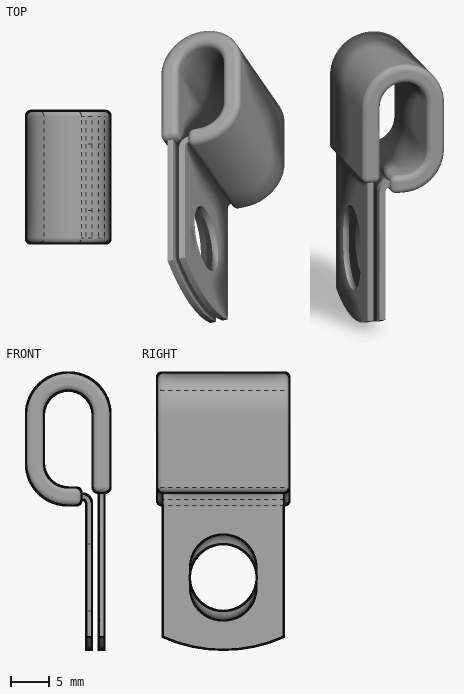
import cadquery as cq

height = 36.45
loop_width = 11.15
cushion_depth = 17.45

strap_thickness = 0.8
cushion_wall = 2.4
flat_band = 0.85
edge_radius = (cushion_wall - flat_band) / 2

outer_radius = loop_width / 2
inner_radius = outer_radius - cushion_wall
middle_radius = (outer_radius + inner_radius) / 2
top_center_z = height - outer_radius
lower_center_z = 24.52
loop_bottom_z = lower_center_z - outer_radius
right_end_z = 20.63
lip_end_x = 1.75

strap_width = 15.92
bend_inner_radius = 0.55
bend_center_x = 1.8
end_arc_rise = 1.7
hole_diameter = 8.75
hole_z = 9.5
slot_length = hole_diameter + 2.55

selection_margin = 0.2

DIAGONAL = 0.5 ** 0.5


def centered_extrude(profile, depth):
    """Extrude an XZ profile equally to both sides of Y = 0."""
    return profile.extrude(depth / 2, both=True)


def edges_near(body, x, z):
    """Select the edges along Y whose centres lie around (x, z), the middle of a wall end."""
    reach = cushion_wall / 2 + selection_margin
    low_corner = (x - reach, -reach, z - reach)
    high_corner = (x + reach, reach, z + reach)
    return body.edges("|Y").edges(cq.selectors.BoxSelector(low_corner, high_corner))


def make_cushion():
    """Hook-shaped loop of constant wall with every edge of its two ends and sides rounded."""
    outer_diagonal = DIAGONAL * outer_radius
    inner_diagonal = DIAGONAL * inner_radius
    profile = (
        cq.Workplane("XZ")
        .moveTo(outer_radius, right_end_z)
        .lineTo(outer_radius, top_center_z)
        .threePointArc((0, height), (-outer_radius, top_center_z))
        .lineTo(-outer_radius, lower_center_z)
        .threePointArc((-outer_diagonal, lower_center_z - outer_diagonal), (0, loop_bottom_z))
        .lineTo(lip_end_x, loop_bottom_z)
        .lineTo(lip_end_x, loop_bottom_z + cushion_wall)
        .lineTo(0, loop_bottom_z + cushion_wall)
        .threePointArc((-inner_diagonal, lower_center_z - inner_diagonal), (-inner_radius, lower_center_z))
        .lineTo(-inner_radius, top_center_z)
        .threePointArc((0, top_center_z + inner_radius), (inner_radius, top_center_z))
        .lineTo(inner_radius, right_end_z)
        .close()
    )
    body = centered_extrude(profile, cushion_depth)
    side_edges = body.faces("<Y or >Y").edges()
    lip_edges = edges_near(body, lip_end_x, loop_bottom_z + cushion_wall / 2)
    right_end_edges = edges_near(body, middle_radius, right_end_z)
    return side_edges.add(lip_edges).add(right_end_edges).fillet(edge_radius)


def make_strap():
    """Two flat legs; the left one bends over into the lip of the loop."""
    bend_outer_radius = bend_inner_radius + strap_thickness
    strap_top_z = lower_center_z - middle_radius + strap_thickness / 2
    bend_center_z = strap_top_z - bend_outer_radius
    leg_inner_x = bend_center_x + bend_inner_radius
    leg_outer_x = bend_center_x + bend_outer_radius
    inner_diagonal = DIAGONAL * bend_inner_radius
    outer_diagonal = DIAGONAL * bend_outer_radius
    left_leg = (
        cq.Workplane("XZ")
        .moveTo(leg_inner_x, 0)
        .lineTo(leg_outer_x, 0)
        .lineTo(leg_outer_x, bend_center_z)
        .threePointArc(
            (bend_center_x + outer_diagonal, bend_center_z + outer_diagonal),
            (bend_center_x, strap_top_z),
        )
        .lineTo(0, strap_top_z)
        .lineTo(0, strap_top_z - strap_thickness)
        .lineTo(bend_center_x, strap_top_z - strap_thickness)
        .threePointArc(
            (bend_center_x + inner_diagonal, bend_center_z + inner_diagonal),
            (leg_inner_x, bend_center_z),
        )
        .close()
    )
    right_leg = (
        cq.Workplane("XZ")
        .moveTo(middle_radius - strap_thickness / 2, 0)
        .lineTo(middle_radius + strap_thickness / 2, 0)
        .lineTo(middle_radius + strap_thickness / 2, top_center_z)
        .lineTo(middle_radius - strap_thickness / 2, top_center_z)
        .close()
    )
    legs = centered_extrude(left_leg, strap_width).union(centered_extrude(right_leg, strap_width))

    outline = (
        cq.Workplane("YZ")
        .moveTo(-strap_width / 2, end_arc_rise)
        .threePointArc((0, 0), (strap_width / 2, end_arc_rise))
        .lineTo(strap_width / 2, height)
        .lineTo(-strap_width / 2, height)
        .close()
        .extrude(loop_width / 2)
    )

    screw_center = cq.Workplane("YZ").center(0, hole_z)
    hole = screw_center.circle(hole_diameter / 2).extrude(leg_outer_x)
    slot = (
        screw_center.workplane(offset=leg_outer_x)
        .slot2D(slot_length, hole_diameter, 90)
        .extrude(outer_radius - leg_outer_x)
    )
    return legs.intersect(outline).cut(hole).cut(slot)


result = make_cushion().union(make_strap())